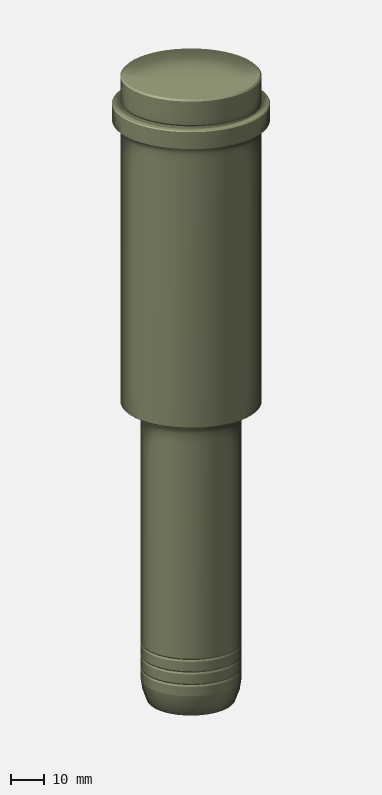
import cadquery as cq

TOTAL_LENGTH = 200.0

PIN_RADIUS = 15.0
NOSE_LENGTH = 7.0
NOSE_TIP_RADIUS = 13.2
NOSE_BULGE = 0.4
TIP_CHAMFER = 0.3

GROOVE_COUNT = 3
GROOVE_WIDTH = 1.0
GROOVE_DEPTH = 0.25
GROOVE_PITCH = 4.0
FIRST_GROOVE_BOTTOM = NOSE_LENGTH + 3.0

BODY_RADIUS = 21.0
BODY_LENGTH = 105.0
BODY_BOTTOM = TOTAL_LENGTH - BODY_LENGTH
BODY_BOTTOM_CHAMFER = 0.3
BODY_TOP_CHAMFER = 0.5

COLLAR_RADIUS = 23.5
COLLAR_HEIGHT = 6.0
COLLAR_TOP = TOTAL_LENGTH - 9.0
COLLAR_BOTTOM = COLLAR_TOP - COLLAR_HEIGHT
COLLAR_CHAMFER = 0.3


def disc(radius, bottom, height):
    """Solid cylinder on the Z axis."""
    return cq.Workplane("XY").workplane(offset=bottom).circle(radius).extrude(height)


def revolve_about_z(profile):
    """Full turn of a closed (radius, height) profile about the Z axis."""
    return profile.close().revolve(360, (0, 0), (0, 1))


def make_pin():
    """Plain pin with a chamfered tip and a convex nose."""
    middle_radius = (PIN_RADIUS + NOSE_TIP_RADIUS) / 2 + NOSE_BULGE
    middle_height = (NOSE_LENGTH + TIP_CHAMFER) / 2
    return revolve_about_z(
        cq.Workplane("XZ")
        .lineTo(NOSE_TIP_RADIUS - TIP_CHAMFER, 0)
        .lineTo(NOSE_TIP_RADIUS, TIP_CHAMFER)
        .threePointArc((middle_radius, middle_height), (PIN_RADIUS, NOSE_LENGTH))
        .lineTo(PIN_RADIUS, BODY_BOTTOM)
        .lineTo(0, BODY_BOTTOM)
    )


def groove_cutter(radius, bottom):
    """Ring of V section that cuts one groove into a cylinder of the given radius."""
    return revolve_about_z(
        cq.Workplane("XZ")
        .moveTo(radius, bottom)
        .lineTo(radius - GROOVE_DEPTH, bottom + GROOVE_WIDTH / 2)
        .lineTo(radius, bottom + GROOVE_WIDTH)
    )


def make_body():
    """Cylinder with both rims chamfered."""
    body = disc(BODY_RADIUS, BODY_BOTTOM, BODY_LENGTH)
    body = body.faces("<Z").edges().chamfer(BODY_BOTTOM_CHAMFER)
    return body.faces(">Z").edges().chamfer(BODY_TOP_CHAMFER)


def make_collar():
    """Collar with both rims chamfered."""
    collar = disc(COLLAR_RADIUS, COLLAR_BOTTOM, COLLAR_HEIGHT)
    return collar.faces("<Z or >Z").edges().chamfer(COLLAR_CHAMFER)


result = make_pin().union(make_body()).union(make_collar())

for relief_bottom in (COLLAR_TOP, COLLAR_BOTTOM - GROOVE_WIDTH):
    result = result.cut(groove_cutter(BODY_RADIUS, relief_bottom))
result = result.cut(groove_cutter(PIN_RADIUS, BODY_BOTTOM - GROOVE_WIDTH))
for index in range(GROOVE_COUNT):
    result = result.cut(groove_cutter(PIN_RADIUS, FIRST_GROOVE_BOTTOM + index * GROOVE_PITCH))